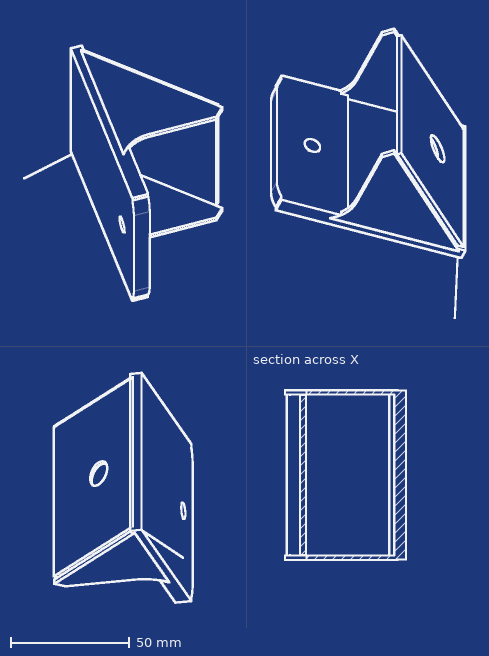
import cadquery as cq
import math

width = 72.0
gusset_overhang = 0.2
base_thickness = 5.0
gusset_thickness = 2.0
mid_z = width / 2

tab_start_x = 54.0
tab_shoulder_x = 84.15
tab_end_x = 86.32
tab_thickness = 7.1
tab_corner_radius = 15.0
tab_hole_diameter = 7.0
tab_hole_x = 70.2

slope_thickness = 2.0
slope_inner_offset = 1.25
slope_foot_y = 3.7
slope_top_sum = 97.1
slope_hole_diameter = 10.0
slope_hole_y = 24.0

gusset_top_sum = 101.25
gusset_fillet_radius = 16.0
gusset_fillet_start_y = 16.9

locator_corner = (-4.40, -19.27, -16.24)
locator_size = 0.1
rod_diameter = 0.05


def prism(profile, z_min, z_max):
    """Extrude an XY profile from z_min to z_max."""
    return profile.extrude(z_max - z_min).translate((0, 0, z_min))


def base_plate():
    length = tab_start_x
    depth = width - 2 * gusset_overhang
    return cq.Workplane("XY").box(length, base_thickness, depth, centered=False).translate(
        (0, 0, gusset_overhang)
    )


def tab():
    """Plate with square shoulders and an end rounded by tangent arcs, drilled through along Y."""
    bow = tab_end_x - tab_shoulder_x
    half_width = mid_z - gusset_overhang
    half_bowed = mid_z - gusset_thickness
    arc_angle = math.acos(1 - bow / tab_corner_radius)
    half_flat = half_bowed - tab_corner_radius * math.sin(arc_angle)
    arc_mid_x = tab_end_x - tab_corner_radius * (1 - math.cos(arc_angle / 2))
    arc_mid_z = half_flat + tab_corner_radius * math.sin(arc_angle / 2)
    body = (
        cq.Workplane("XZ", origin=(0, 0, mid_z))
        .moveTo(tab_start_x, -half_width)
        .lineTo(tab_shoulder_x, -half_width)
        .lineTo(tab_shoulder_x, -half_bowed)
        .threePointArc((arc_mid_x, -arc_mid_z), (tab_end_x, -half_flat))
        .lineTo(tab_end_x, half_flat)
        .threePointArc((arc_mid_x, arc_mid_z), (tab_shoulder_x, half_bowed))
        .lineTo(tab_shoulder_x, half_width)
        .lineTo(tab_start_x, half_width)
        .close()
        .extrude(-tab_thickness)
    )
    hole = (
        cq.Workplane("XZ", origin=(tab_hole_x, 0, mid_z))
        .circle(tab_hole_diameter / 2)
        .extrude(-tab_thickness)
    )
    return body.cut(hole)


def slope_point(offset, top_sum):
    """Point where the 45 degree line y = x + offset meets x + y = top_sum."""
    return ((top_sum - offset) / 2, (top_sum + offset) / 2)


def sloping_plate():
    outer_offset = slope_inner_offset + slope_thickness * math.sqrt(2)
    profile = cq.Workplane("XY").polyline(
        [
            (slope_foot_y - outer_offset, slope_foot_y),
            (slope_foot_y - slope_inner_offset, slope_foot_y),
            slope_point(slope_inner_offset, slope_top_sum),
            slope_point(outer_offset, slope_top_sum),
        ]
    ).close()
    plate = prism(profile, gusset_thickness, width - gusset_thickness)
    hole = (
        cq.Workplane("YZ")
        .center(slope_hole_y, mid_z)
        .circle(slope_hole_diameter / 2)
        .extrude(tab_start_x)
    )
    return plate.cut(hole)


def gusset(z_min):
    """Triangular side wall that flares onto the tab through a concave arc."""
    center_x = tab_start_x + gusset_fillet_radius
    end_angle = math.asin((gusset_fillet_start_y - slope_foot_y) / gusset_fillet_radius)

    def arc_point(angle):
        return (
            center_x - gusset_fillet_radius * math.cos(angle),
            gusset_fillet_start_y - gusset_fillet_radius * math.sin(angle),
        )

    profile = (
        cq.Workplane("XY")
        .moveTo(slope_foot_y - slope_inner_offset, slope_foot_y)
        .lineTo(*slope_point(slope_inner_offset, gusset_top_sum))
        .lineTo(tab_start_x, gusset_top_sum - tab_start_x)
        .lineTo(tab_start_x, gusset_fillet_start_y)
        .threePointArc(arc_point(end_angle / 2), arc_point(end_angle))
        .close()
    )
    return prism(profile, z_min, z_min + gusset_thickness)


def locator():
    """Tiny cube at the locating point with its connecting rod to the base corner."""
    cube = cq.Workplane("XY").box(locator_size, locator_size, locator_size, centered=False)
    cube = cube.translate(locator_corner)
    start = cq.Vector(*locator_corner) + cq.Vector(1, 1, 1) * (locator_size / 2)
    anchor = cq.Vector(1, 1, 1) * (base_thickness / 2)
    direction = anchor - start
    rod = cq.Solid.makeCylinder(rod_diameter / 2, direction.Length, start, direction)
    return cube.union(cq.Workplane(obj=rod))


bracket = base_plate().union(tab()).union(sloping_plate())
for gusset_z in (0, width - gusset_thickness):
    bracket = bracket.union(gusset(gusset_z))
result = bracket.union(locator())